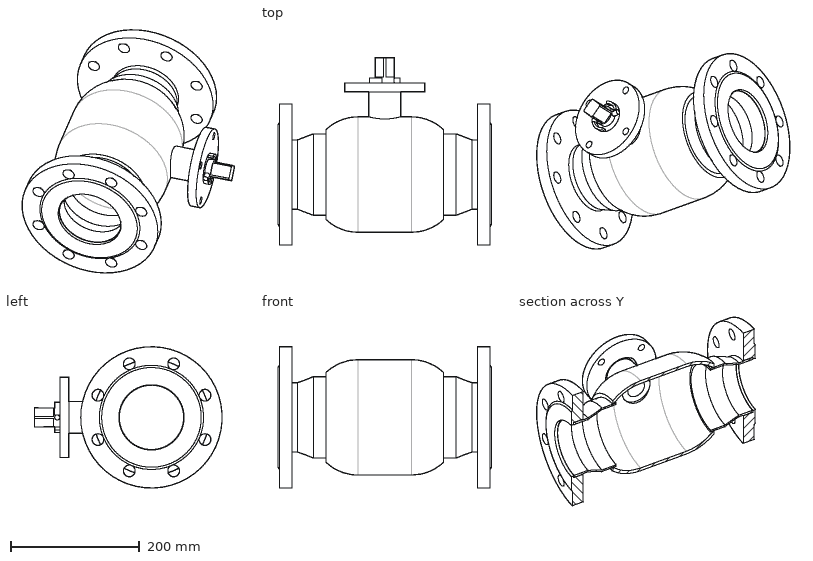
import cadquery as cq
import math


FACE_TO_FACE = 332.0
FLANGE_DIAMETER = 220.0
FLANGE_THICKNESS = 20.0
RAISED_FACE_HEIGHT = 2.0
RAISED_FACE_BASE_DIAMETER = 162.0
RAISED_FACE_TOP_DIAMETER = 155.0
BOLT_CIRCLE_DIAMETER = 180.0
BOLT_HOLE_DIAMETER = 18.0
BOLT_HOLE_COUNT = 8
FLANGE_LIP_BORE = 101.5
FLANGE_LIP_DEPTH = 5.0

PIPE_OUTER_DIAMETER = 108.0
NECK_OUTER_DIAMETER = 127.0
NECK_WALL = 4.0
CONE_SMALL_END_X = 136.0
CONE_LARGE_END_X = 111.0

SHELL_DIAMETER = 180.0
SHELL_WALL = 6.5
SHELL_HALF_LENGTH = 91.5
BARREL_HALF_LENGTH = 41.3
SHELL_END_DIAMETER = 140.0

STEM_TOP_Y = 182.0
STEM_DIAMETER = 30.0
SQUARE_WIDTH = 23.4
SQUARE_LENGTH = 30.0
SHAFT_ABOVE_STOP_RING = 1.5
PIN_DIAMETER = 8.0
HOUSING_DIAMETER = 50.0
STOP_RING_DIAMETER = 48.0
STOP_RING_BORE = 40.0
MOUNT_DIAMETER = 125.0
MOUNT_THICKNESS = 14.0
MOUNT_BOLT_CIRCLE = 102.0
MOUNT_HOLE_DIAMETER = 11.0
MOUNT_HOLE_COUNT = 4
MOUNT_RECESS_DIAMETER = 57.0
MOUNT_RECESS_DEPTH = 3.0

FACE_X = FACE_TO_FACE / 2
FLANGE_FRONT_X = FACE_X - RAISED_FACE_HEIGHT
FLANGE_BACK_X = FLANGE_FRONT_X - FLANGE_THICKNESS
PIPE_END_X = FACE_X - FLANGE_LIP_DEPTH
NECK_INNER_END_X = SHELL_HALF_LENGTH - SHELL_WALL
SHELL_INNER_RADIUS = SHELL_DIAMETER / 2 - SHELL_WALL
SHAFT_TOP_Y = STEM_TOP_Y - SQUARE_LENGTH
STOP_RING_TOP_Y = SHAFT_TOP_Y - SHAFT_ABOVE_STOP_RING
MOUNT_TOP_Y = STOP_RING_TOP_Y - PIN_DIAMETER
MOUNT_BOTTOM_Y = MOUNT_TOP_Y - MOUNT_THICKNESS
TUBE_TOP_Y = MOUNT_BOTTOM_Y + MOUNT_RECESS_DEPTH
PIN_Y = MOUNT_TOP_Y + PIN_DIAMETER / 2


def revolve_about_x(profile):
    return profile.close().revolve(360, (0, 0, 0), (1, 0, 0))


def cylinder_along_y(diameter, bottom_y, top_y):
    base = cq.Workplane("XZ", origin=(0, bottom_y, 0))
    return base.circle(diameter / 2).extrude(bottom_y - top_y)


def mirrored_pair(body):
    return [body, body.mirror("YZ")]


def make_end_flange():
    profile = (
        cq.Workplane("XY")
        .moveTo(FLANGE_BACK_X, PIPE_OUTER_DIAMETER / 2)
        .lineTo(FLANGE_BACK_X, FLANGE_DIAMETER / 2)
        .lineTo(FLANGE_FRONT_X, FLANGE_DIAMETER / 2)
        .lineTo(FLANGE_FRONT_X, RAISED_FACE_BASE_DIAMETER / 2)
        .lineTo(FACE_X, RAISED_FACE_TOP_DIAMETER / 2)
        .lineTo(FACE_X, FLANGE_LIP_BORE / 2)
        .lineTo(PIPE_END_X, FLANGE_LIP_BORE / 2)
        .lineTo(PIPE_END_X, PIPE_OUTER_DIAMETER / 2)
    )
    half_pitch = 180 / BOLT_HOLE_COUNT
    bolt_holes = (
        cq.Workplane("YZ", origin=(FLANGE_BACK_X, 0, 0))
        .polarArray(BOLT_CIRCLE_DIAMETER / 2, half_pitch, 360, BOLT_HOLE_COUNT)
        .circle(BOLT_HOLE_DIAMETER / 2)
        .extrude(FACE_X - FLANGE_BACK_X)
    )
    return revolve_about_x(profile).cut(bolt_holes)


def make_neck():
    pipe_radius = PIPE_OUTER_DIAMETER / 2
    neck_radius = NECK_OUTER_DIAMETER / 2
    profile = (
        cq.Workplane("XY")
        .moveTo(PIPE_END_X, pipe_radius)
        .lineTo(CONE_SMALL_END_X, pipe_radius)
        .lineTo(CONE_LARGE_END_X, neck_radius)
        .lineTo(NECK_INNER_END_X, neck_radius)
        .lineTo(NECK_INNER_END_X, neck_radius - NECK_WALL)
        .lineTo(CONE_LARGE_END_X, neck_radius - NECK_WALL)
        .lineTo(CONE_SMALL_END_X, pipe_radius - NECK_WALL)
        .lineTo(PIPE_END_X, pipe_radius - NECK_WALL)
    )
    return revolve_about_x(profile)


def make_shell():
    barrel_radius = SHELL_DIAMETER / 2
    opening_radius = NECK_OUTER_DIAMETER / 2
    end_radius = SHELL_END_DIAMETER / 2

    dome_length = SHELL_HALF_LENGTH - BARREL_HALF_LENGTH
    dome_drop = barrel_radius - end_radius
    dome_radius = (dome_length**2 + dome_drop**2) / (2 * dome_drop)
    dome_center_radius = barrel_radius - dome_radius

    inner_dome_radius = dome_radius - SHELL_WALL
    opening_height = opening_radius - dome_center_radius
    opening_x = BARREL_HALF_LENGTH + math.sqrt(inner_dome_radius**2 - opening_height**2)

    profile = (
        cq.Workplane("XY")
        .moveTo(-BARREL_HALF_LENGTH, barrel_radius)
        .lineTo(BARREL_HALF_LENGTH, barrel_radius)
        .tangentArcPoint((SHELL_HALF_LENGTH, end_radius), relative=False)
        .lineTo(SHELL_HALF_LENGTH, opening_radius)
        .lineTo(opening_x, opening_radius)
        .radiusArc((BARREL_HALF_LENGTH, SHELL_INNER_RADIUS), -inner_dome_radius)
        .lineTo(-BARREL_HALF_LENGTH, SHELL_INNER_RADIUS)
        .radiusArc((-opening_x, opening_radius), -inner_dome_radius)
        .lineTo(-SHELL_HALF_LENGTH, opening_radius)
        .lineTo(-SHELL_HALF_LENGTH, end_radius)
        .radiusArc((-BARREL_HALF_LENGTH, barrel_radius), dome_radius)
    )
    stem_opening = cylinder_along_y(HOUSING_DIAMETER, 0, SHELL_DIAMETER)
    return revolve_about_x(profile).cut(stem_opening)


def make_stem_housing():
    tube = cylinder_along_y(HOUSING_DIAMETER, SHELL_INNER_RADIUS, TUBE_TOP_Y)
    stop_ring = cylinder_along_y(STOP_RING_DIAMETER, TUBE_TOP_Y, STOP_RING_TOP_Y)
    stem_bore = cylinder_along_y(STEM_DIAMETER, SHELL_INNER_RADIUS, STOP_RING_TOP_Y)
    ring_bore = cylinder_along_y(STOP_RING_BORE, MOUNT_TOP_Y, STOP_RING_TOP_Y)
    housing = tube.union(stop_ring).cut(stem_bore).cut(ring_bore)

    ring_radius = STOP_RING_DIAMETER / 2
    window_size = ring_radius + PIN_DIAMETER / 2
    window_offset = ring_radius - window_size / 2
    for side in (1, -1):
        window = cq.Workplane("XY").box(window_size, PIN_DIAMETER, window_size)
        housing = housing.cut(window.translate((side * window_offset, PIN_Y, side * window_offset)))
    return housing


def make_mounting_flange():
    half_pitch = 180 / MOUNT_HOLE_COUNT
    disc = cylinder_along_y(MOUNT_DIAMETER, MOUNT_BOTTOM_Y, MOUNT_TOP_Y)
    bore = cylinder_along_y(STOP_RING_DIAMETER, TUBE_TOP_Y, MOUNT_TOP_Y)
    recess = cylinder_along_y(MOUNT_RECESS_DIAMETER, MOUNT_BOTTOM_Y, TUBE_TOP_Y)
    bolt_holes = (
        cq.Workplane("XZ", origin=(0, MOUNT_BOTTOM_Y, 0))
        .polarArray(MOUNT_BOLT_CIRCLE / 2, half_pitch, 360, MOUNT_HOLE_COUNT)
        .circle(MOUNT_HOLE_DIAMETER / 2)
        .extrude(-MOUNT_THICKNESS)
    )
    return disc.cut(bore).cut(recess).cut(bolt_holes)


def make_stop_pin():
    pin = cq.Workplane("YZ", origin=(0, PIN_Y, 0)).circle(PIN_DIAMETER / 2)
    return pin.extrude(STOP_RING_DIAMETER / 2, both=True)


def make_stem(stop_pin):
    shaft = cylinder_along_y(STEM_DIAMETER, SHELL_INNER_RADIUS, SHAFT_TOP_Y)
    square = (
        cq.Workplane("XZ", origin=(0, SHAFT_TOP_Y, 0))
        .transformed(rotate=(0, 0, 45))
        .rect(SQUARE_WIDTH, SQUARE_WIDTH)
        .extrude(-SQUARE_LENGTH)
    )
    drive = square.intersect(cylinder_along_y(STEM_DIAMETER, SHAFT_TOP_Y, STEM_TOP_Y))
    return shaft.union(drive).cut(stop_pin)


end_flanges = mirrored_pair(make_end_flange())
necks = mirrored_pair(make_neck())
shell = make_shell()
stem_housing = make_stem_housing()
mounting_flange = make_mounting_flange()
stop_pin = make_stop_pin()
stem = make_stem(stop_pin)

bodies = [*end_flanges, *necks, shell, stem_housing, mounting_flange, stop_pin, stem]
result = cq.Compound.makeCompound([body.val() for body in bodies])